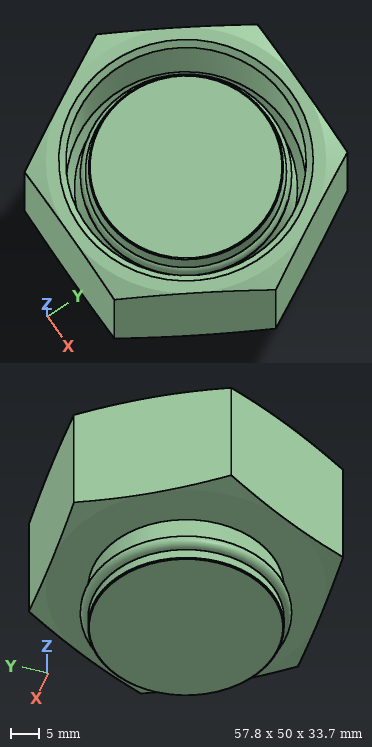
import cadquery as cq
import math

total_height = 33.7
nut_bottom = 9.7

hex_corners = 57.75
hex_flats = hex_corners * math.cos(math.radians(30))
hex_chamfer_angle = 15.0
bore_diameter = 42.85
mouth_diameter = 45.4
mouth_chamfer_angle = 60.0

stem_diameter = 35.0
collar_diameter = 39.8
cone_half_angle = 12.0
seat_angle = 45.0
plug_top = 29.9
tip_diameter = 34.65
edge_chamfer = 0.2

groove_diameter = 32.5
ring_section = 2.6
groove_width = 3.0
lower_groove_z = 3.7
upper_groove_z = 25.5
groove_centres = [lower_groove_z, upper_groove_z]

stem_radius = stem_diameter / 2
collar_radius = collar_diameter / 2
tip_radius = tip_diameter / 2
bore_radius = bore_diameter / 2
mouth_radius = mouth_diameter / 2
ring_centre_radius = (groove_diameter + ring_section) / 2
collar_z = plug_top - (collar_radius - tip_radius) / math.tan(math.radians(cone_half_angle))
seat_slope = math.tan(math.radians(seat_angle))
seat_bottom = collar_z - (collar_radius - stem_radius) * seat_slope
seat_top = collar_z + (bore_radius - collar_radius) * seat_slope
mouth_depth = (mouth_radius - bore_radius) / math.tan(math.radians(mouth_chamfer_angle))


def revolve_profile(points):
    """Turn a closed (radius, height) outline about the Z axis."""
    return cq.Workplane("XZ").polyline(points).close().revolve(360, (0, 0), (0, 1))


def make_hex_blank():
    """Hexagonal prism whose corners are cut by a shallow cone at both ends."""
    corner_radius = hex_corners / 2
    flat_radius = hex_flats / 2
    drop = (corner_radius - flat_radius) * math.tan(math.radians(hex_chamfer_angle))
    prism = (
        cq.Workplane("XY", origin=(0, 0, nut_bottom))
        .polygon(6, hex_corners)
        .extrude(total_height - nut_bottom)
    )
    envelope = revolve_profile([
        (0, nut_bottom),
        (flat_radius, nut_bottom),
        (corner_radius, nut_bottom + drop),
        (corner_radius, total_height - drop),
        (flat_radius, total_height),
        (0, total_height),
    ])
    return prism.intersect(envelope)


def make_nut():
    """Union nut: chamfered mouth, wide bore, conical seat and stem hole."""
    cavity = revolve_profile([
        (0, nut_bottom),
        (stem_radius, nut_bottom),
        (stem_radius, seat_bottom),
        (bore_radius, seat_top),
        (bore_radius, total_height - mouth_depth),
        (mouth_radius, total_height),
        (0, total_height),
    ])
    return make_hex_blank().cut(cavity)


def make_groove(centre_z):
    """Ring-shaped cutter for an O-ring groove."""
    return (
        cq.Workplane("XY", origin=(0, 0, centre_z - groove_width / 2))
        .circle(collar_radius)
        .circle(groove_diameter / 2)
        .extrude(groove_width)
    )


def make_plug():
    """Stem, seat collar and tapered nose, with a groove near each end."""
    plug = revolve_profile([
        (0, 0),
        (stem_radius, 0),
        (stem_radius, seat_bottom),
        (collar_radius, collar_z),
        (tip_radius, plug_top),
        (0, plug_top),
    ])
    plug = plug.faces("<Z or >Z").edges().chamfer(edge_chamfer)
    for centre_z in groove_centres:
        plug = plug.cut(make_groove(centre_z))
    return plug


def make_o_ring(centre_z):
    """O-ring resting on the floor of its groove."""
    return cq.Workplane("XY").add(
        cq.Solid.makeTorus(ring_centre_radius, ring_section / 2, cq.Vector(0, 0, centre_z))
    )


nut = make_nut()
plug = make_plug()
o_rings = [make_o_ring(centre_z) for centre_z in groove_centres]

result = cq.Compound.makeCompound([nut.val(), plug.val(), *[ring.val() for ring in o_rings]])